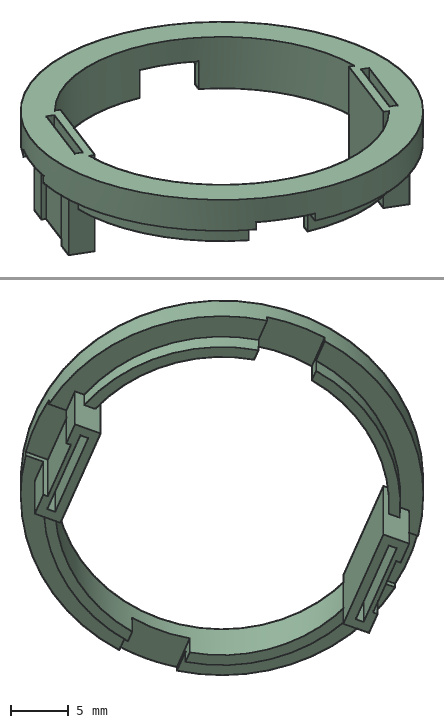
import cadquery as cq

outer_radius = 17.5
skirt_radius = 15.5
bore_radius = 14.52
rim_depth = 2.3
flange_depth = 3.0
skirt_depth = 5.0

leg_depth = 9.35
leg_width = 9.38
leg_inner_y = 13.23
leg_outer_y = 15.65
slot_width = 7.75
slot_inner_y = 14.07
slot_outer_y = 14.8

notch_width = 5.4
leg_recess = 0.42
notch_floor_y = leg_outer_y - leg_recess


def ring(radius, top, bottom):
    """Ring with the common bore, between two depths below the top face."""
    return (
        cq.Workplane("XY")
        .workplane(offset=-bottom)
        .circle(radius)
        .circle(bore_radius)
        .extrude(bottom - top)
    )


def side_block(width, inner_y, outer_y, top, bottom):
    """Block centred on X = 0, on the +Y side, between two depths."""
    return (
        cq.Workplane("XY")
        .box(width, outer_y - inner_y, bottom - top, centered=(True, False, False))
        .translate((0, inner_y, -bottom))
    )


def turned(body, angle):
    """Copy of a body turned about the ring axis."""
    return body.rotate((0, 0, 0), (0, 0, 1), angle)


result = (
    ring(outer_radius, 0, flange_depth)
    .union(ring(skirt_radius, flange_depth, skirt_depth))
)

leg = side_block(leg_width, leg_inner_y, leg_outer_y, 0, leg_depth)
leg_notch = side_block(notch_width, notch_floor_y, outer_radius, rim_depth, leg_depth)
slot = side_block(slot_width, slot_inner_y, slot_outer_y, 0, leg_depth)
for angle in (0, 180):
    result = result.union(turned(leg, angle))
    result = result.cut(turned(leg_notch, angle))
    result = result.cut(turned(slot, angle))

wall_notch = side_block(notch_width, leg_inner_y, outer_radius, rim_depth, skirt_depth)
for angle in (90, -90):
    result = result.cut(turned(wall_notch, angle))